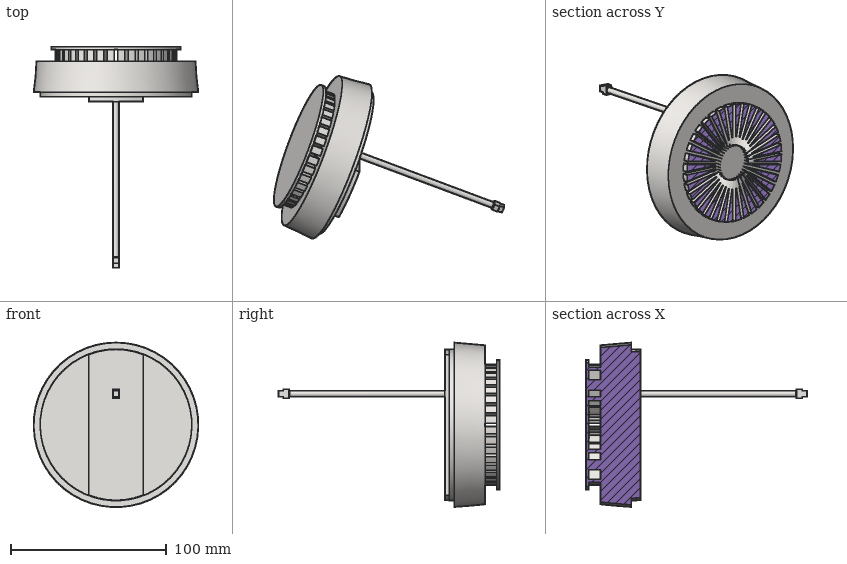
import cadquery as cq
import math


disc_diameter = 83.6
disc_thickness = 2.0
fin_diameter = 78.0
fin_length = 7.3
slot_count = 36
slot_width = 2.0

body_front_diameter = 106.0
body_length = 20.0
body_draft_angle = 5.0
body_back_diameter = body_front_diameter - 2 * body_length * math.tan(math.radians(body_draft_angle))

lip_diameter = 97.5
lip_thickness = 3.0
bar_diameter = 97.0
bar_width = 35.0
bar_thickness = 3.0

cable_diameter = 4.0
cable_length = 99.7
cable_height = 20.0
collar_size = cable_diameter
collar_length = 0.3
connector_width = cable_diameter
connector_height = 6.0
connector_length = 4.0
bevel_length = 0.3
bevel_inset = 0.15
bevel_angle = math.degrees(math.atan2(bevel_inset, bevel_length))
tip_height = 4.0
tip_length = 3.0

disc_front = -disc_thickness
body_back = disc_front - fin_length
body_front = body_back - body_length
lip_front = body_front - lip_thickness
bar_front = lip_front - bar_thickness
cable_end = bar_front - cable_length
connector_back = cable_end - collar_length
bevel_front = connector_back - bevel_length
connector_front = connector_back - connector_length


def layer_plane(y, height=0):
    """Sketch plane facing -Y, with its local axes along +X and +Z."""
    return cq.Workplane("XZ", origin=(0, y, height))


def disc_outline(y, diameter, height=0):
    """Circle facing -Y that starts and ends at its topmost point."""
    return layer_plane(y, height).transformed(rotate=(0, 0, 90)).circle(diameter / 2)


def cylinder(y, diameter, length, height=0):
    return disc_outline(y, diameter, height).extrude(length)


def make_fins():
    """Ring of fins left between slots that run across the full diameter."""
    fins = cylinder(disc_front, fin_diameter, fin_length)
    slot = layer_plane(disc_front).rect(slot_width, 2 * fin_diameter).extrude(fin_length)
    slots_across = slot_count // 2
    for index in range(slots_across):
        angle = index * 360 / slot_count
        fins = fins.cut(slot.rotate((0, 0, 0), (0, 1, 0), angle))
    return fins


def make_body():
    return disc_outline(body_back, body_back_diameter).extrude(body_length, taper=-body_draft_angle)


def make_bar():
    """Slice of a disc with two flat vertical sides and rounded ends."""
    bar_disc = cylinder(lip_front, bar_diameter, bar_thickness)
    strip = layer_plane(lip_front).rect(bar_width, bar_diameter).extrude(bar_thickness)
    return bar_disc.intersect(strip)


def cable_block(y, width, height, length, taper=0):
    """Rectangular block centred on the cable axis."""
    return layer_plane(y, cable_height).rect(width, height).extrude(length, taper=taper)


def make_connector():
    """Square collar, block with a bevelled back rim, and lower tip."""
    collar = cable_block(cable_end, collar_size, collar_size, collar_length)
    bevel = cable_block(
        bevel_front, connector_width, connector_height, -bevel_length, taper=bevel_angle
    )
    block = cable_block(
        bevel_front, connector_width, connector_height, connector_length - bevel_length
    )
    tip = cable_block(connector_front, connector_width, tip_height, tip_length)
    return collar.union(bevel).union(block).union(tip)


result = (
    cylinder(0, disc_diameter, disc_thickness)
    .union(make_fins())
    .union(make_body())
    .union(cylinder(body_front, lip_diameter, lip_thickness))
    .union(make_bar())
    .union(cylinder(bar_front, cable_diameter, cable_length, cable_height))
    .union(make_connector())
)